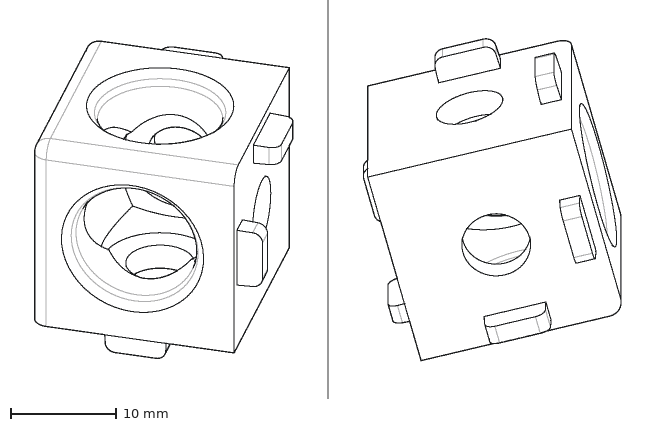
import cadquery as cq

overall_size = 22.5
cube_size = 20.0
edge_radius = 1.5
half_cube = cube_size / 2

mouth_radius = 7.0
mouth_chamfer = 1.04
lip_radius = 1.0
floor_distance = 7.42
floor_radius = 5.54
hole_radius = 3.26
throat_radius = mouth_radius - mouth_chamfer
throat_height = half_cube - mouth_chamfer

peg_length = overall_size - cube_size
peg_width = 6.08
peg_thickness = 2.0
peg_draft = 2.0
peg_corner_radius = 1.0
peg_offset = 8.0


def make_body():
    """Cube with the three edges meeting at its -X, -Y, +Z corner rounded."""
    cube = cq.Workplane("XY").box(cube_size, cube_size, cube_size)
    return cube.edges("(<X and <Y) or (<X and >Z) or (<Y and >Z)").fillet(edge_radius)


def make_socket():
    """Socket cutter along Z, with its mouth at the top face and its hole through the bottom face."""
    profile = (
        cq.Workplane("XZ")
        .moveTo(0, half_cube)
        .lineTo(mouth_radius, half_cube)
        .lineTo(throat_radius, throat_height)
        .lineTo(floor_radius, -floor_distance)
        .lineTo(hole_radius, -floor_distance)
        .lineTo(hole_radius, -half_cube)
        .lineTo(0, -half_cube)
        .close()
    )
    socket = profile.revolve(360, (0, 0, 0), (0, 1, 0))
    throat_edge = cq.selectors.NearestToPointSelector((0, 0, throat_height))
    return socket.edges(throat_edge).fillet(lip_radius)


def make_peg(turn):
    """Drafted peg hanging from the bottom face; turn 0 puts it beside -X, turn 90 beside -Y."""
    root = cq.Workplane("XY", origin=(-peg_offset, 0, -half_cube)).rect(peg_thickness, peg_width)
    peg = root.extrude(-peg_length, taper=peg_draft)
    rounded_peg = peg.faces("<Z").edges("<Y or >Y").fillet(peg_corner_radius)
    return rounded_peg.rotate((0, 0, 0), (0, 0, 1), turn)


def on_three_axes(shape):
    """Copies of a Z-axis shape turned about the cube diagonal onto all three axes."""
    return [shape.rotate((0, 0, 0), (-1, -1, 1), angle) for angle in (0, 120, 240)]


result = make_body()
for turn in (0, 90):
    for peg in on_three_axes(make_peg(turn)):
        result = result.union(peg)
for socket in on_three_axes(make_socket()):
    result = result.cut(socket)